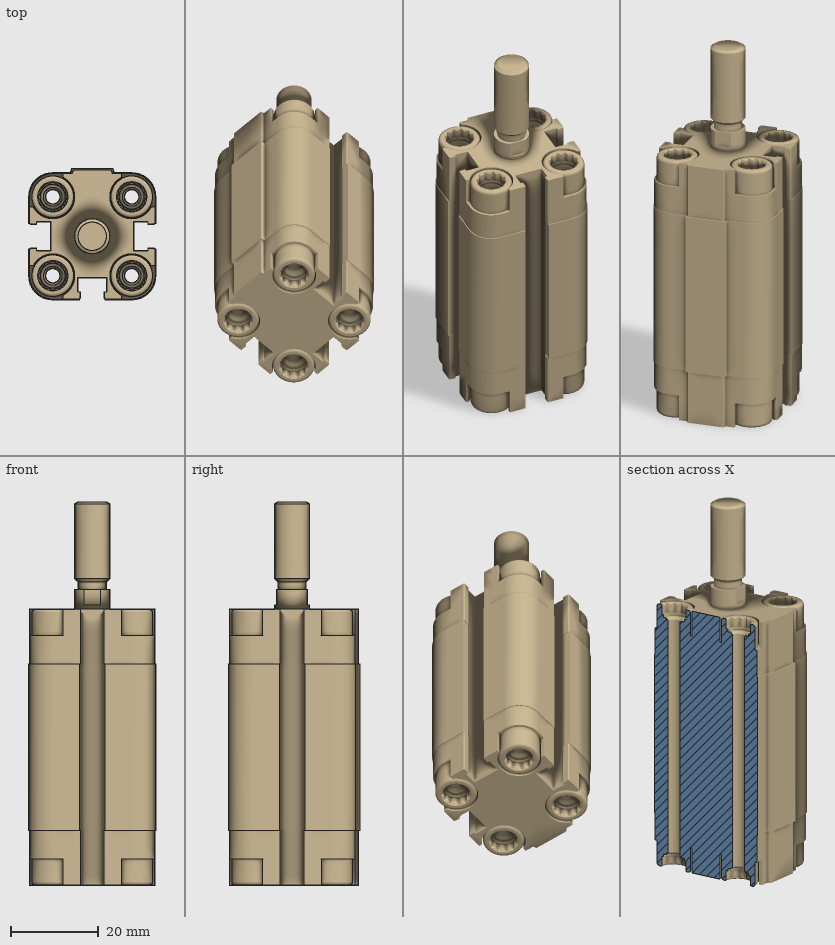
import cadquery as cq
import math


TOTAL_HEIGHT = 87.5
HOUSING_HEIGHT = 63.0
CAP_HEIGHT = 12.5

BARREL_WIDTH = 29.0
CAP_INSET = 0.2
SCREW_OFFSET = 9.0
RAIL_HEIGHT = 1.0
CAP_RAIL_INSET = 0.4
RAIL_BASE_WIDTH = 10.0
RAIL_TOP_WIDTH = 9.4

BARREL_MOUTH_WIDTH = 5.8
CAP_MOUTH_WIDTH = 5.45
SLOT_WIDTH = 6.6
SLOT_FLOOR_OFFSET = 9.5
SLOT_LIP_OFFSET = 12.7
CAP_MOUTH_FILLET = 0.3
SLOT_ANGLES = (180, 0, -90)

HEAD_DIAMETER = 9.5
COUNTERBORE_DIAMETER = 10.0
HEAD_HEIGHT = 6.0
HEAD_FILLET = 0.75
CORNER_CUT_OFFSET = 6.7
SOCKET_POINTS = 12
SOCKET_INNER_DIAMETER = 6.1
SOCKET_OUTER_DIAMETER = 6.9
SOCKET_DEPTH = 2.4
SOCKET_BORE_DIAMETER = 5.7
SOCKET_BORE_DEPTH = 3.0
SCREW_HOLE_DIAMETER = 3.24
SCREW_FUNNEL_DIAMETER = 4.3

ROD_DIAMETER = 8.0
NECK_DIAMETER = 6.47
TIP_CHAMFER_HEIGHT = 0.5
THREAD_LENGTH = 17.5
NECK_END = 20.0
FLAT_HEIGHT = 3.5
ACROSS_FLATS = 7.0


def block(x_range, y_range, z_range):
    """Box between the given limits."""
    size = [limits[1] - limits[0] for limits in (x_range, y_range, z_range)]
    corner = (x_range[0], y_range[0], z_range[0])
    return cq.Workplane("XY").box(*size, centered=False).translate(corner)


def cone(bottom_radius, top_radius, bottom, top):
    """Upright cone frustum on the Z axis."""
    outline = [(0, bottom), (bottom_radius, bottom), (top_radius, top), (0, top)]
    return cq.Workplane("XZ").polyline(outline).close().revolve(360, (0, 0), (0, 1))


def cylinder(diameter, bottom, top):
    """Upright cylinder on the Z axis."""
    return cq.Workplane("XY").workplane(offset=bottom).circle(diameter / 2).extrude(top - bottom)


def housing_section(inset, rail_inset, mouth_width, mouth_fillet, bottom, height):
    """Stretch of the housing: rounded square with the rail, less the three slots."""
    half_width = BARREL_WIDTH / 2 - inset
    section = (
        cq.Workplane("XY")
        .rect(2 * half_width, 2 * half_width)
        .extrude(height)
        .edges("|Z")
        .fillet(half_width - SCREW_OFFSET)
    )
    base = RAIL_BASE_WIDTH / 2 - rail_inset
    top = RAIL_TOP_WIDTH / 2 - rail_inset
    rail_face = BARREL_WIDTH / 2 + RAIL_HEIGHT - rail_inset
    rail_outline = [
        (-base, SLOT_FLOOR_OFFSET),
        (base, SLOT_FLOOR_OFFSET),
        (base, half_width),
        (top, rail_face),
        (-top, rail_face),
        (-base, half_width),
    ]
    section = section.union(cq.Workplane("XY").polyline(rail_outline).close().extrude(height))
    side_slot = slot(half_width, mouth_width, mouth_fillet, height)
    for angle in SLOT_ANGLES:
        section = section.cut(side_slot.rotate((0, 0, 0), (0, 0, 1), angle))
    return section.translate((0, 0, bottom))


def slot(half_width, mouth_width, mouth_fillet, height):
    """Slot opening toward +X, with its mouth flared by rounded edges where asked."""
    mouth = mouth_width / 2
    channel = block((SLOT_FLOOR_OFFSET, SLOT_LIP_OFFSET), (-SLOT_WIDTH / 2, SLOT_WIDTH / 2), (0, height))
    if not mouth_fillet:
        return channel.union(block((SLOT_LIP_OFFSET, half_width), (-mouth, mouth), (0, height)))
    bend = half_width - mouth_fillet
    flare = mouth + mouth_fillet
    sag = mouth_fillet * math.sqrt(0.5)
    outline = (
        cq.Workplane("XY")
        .moveTo(SLOT_LIP_OFFSET, -mouth)
        .lineTo(bend, -mouth)
        .threePointArc((bend + sag, -flare + sag), (half_width, -flare))
        .lineTo(half_width, flare)
        .threePointArc((bend + sag, flare - sag), (bend, mouth))
        .lineTo(SLOT_LIP_OFFSET, mouth)
        .close()
    )
    return channel.union(outline.extrude(height))


def corner_cut():
    """Removes the top of the housing corner around a screw head whose centre is on the Z axis."""
    wall = CORNER_CUT_OFFSET - SCREW_OFFSET
    reach = BARREL_WIDTH / 2
    square = block((wall, reach), (wall, reach), (-HEAD_HEIGHT, 0))
    return square.union(cylinder(COUNTERBORE_DIAMETER, -HEAD_HEIGHT, 0))


def screw_head():
    """Round head with a twelve-point socket, its top at Z = 0."""
    head = cylinder(HEAD_DIAMETER, -HEAD_HEIGHT, 0).faces(">Z").edges().fillet(HEAD_FILLET)

    inner_radius = SOCKET_INNER_DIAMETER / 2
    step = math.pi / SOCKET_POINTS
    outer_radius = SOCKET_OUTER_DIAMETER / 2
    star = []
    for corner in range(2 * SOCKET_POINTS):
        radius = inner_radius if corner % 2 else outer_radius
        star.append((radius * math.cos(corner * step), radius * math.sin(corner * step)))
    head = head.cut(cq.Workplane("XY").polyline(star).close().extrude(-SOCKET_DEPTH))

    head = head.cut(cone(inner_radius, outer_radius, inner_radius - outer_radius, 0))
    head = head.cut(cylinder(SOCKET_BORE_DIAMETER, -SOCKET_BORE_DEPTH, 0))
    hole_radius = SCREW_HOLE_DIAMETER / 2
    funnel_radius = SCREW_FUNNEL_DIAMETER / 2
    funnel_bottom = -SOCKET_BORE_DEPTH - (funnel_radius - hole_radius)
    return head.cut(cone(hole_radius, funnel_radius, funnel_bottom, -SOCKET_BORE_DEPTH))


def place_in_corners(shape):
    """Eight copies of a +X +Y corner feature: four on the top and four mirrored to the bottom."""
    top_corner = shape.translate((SCREW_OFFSET, SCREW_OFFSET, HOUSING_HEIGHT))
    bottom_corner = top_corner.mirror("XY", (0, 0, HOUSING_HEIGHT / 2))
    return [
        corner.rotate((0, 0, 0), (0, 0, 1), angle)
        for corner in (top_corner, bottom_corner)
        for angle in range(0, 360, 90)
    ]


def build_housing():
    barrel_height = HOUSING_HEIGHT - 2 * CAP_HEIGHT
    housing = housing_section(0, 0, BARREL_MOUTH_WIDTH, 0, CAP_HEIGHT, barrel_height)
    for cap_bottom in (0, HOUSING_HEIGHT - CAP_HEIGHT):
        cap = housing_section(
            CAP_INSET, CAP_RAIL_INSET, CAP_MOUTH_WIDTH, CAP_MOUTH_FILLET, cap_bottom, CAP_HEIGHT
        )
        housing = housing.union(cap)
    for cut in place_in_corners(corner_cut()):
        housing = housing.cut(cut)
    for head in place_in_corners(screw_head()):
        housing = housing.union(head)

    pitch = 2 * SCREW_OFFSET
    screw_holes = (
        cq.Workplane("XY")
        .rect(pitch, pitch, forConstruction=True)
        .vertices()
        .circle(SCREW_HOLE_DIAMETER / 2)
        .extrude(HOUSING_HEIGHT)
    )
    rod_bore = cylinder(ROD_DIAMETER, HOUSING_HEIGHT - CAP_HEIGHT, HOUSING_HEIGHT)
    return housing.cut(screw_holes).cut(rod_bore)


def build_piston_rod():
    radius = ROD_DIAMETER / 2
    neck_radius = NECK_DIAMETER / 2
    foot = HOUSING_HEIGHT - CAP_HEIGHT
    shoulder = TOTAL_HEIGHT - NECK_END
    thread_bottom = TOTAL_HEIGHT - THREAD_LENGTH
    profile = [
        (0, foot),
        (radius, foot),
        (radius, shoulder),
        (neck_radius, shoulder),
        (neck_radius, thread_bottom - (radius - neck_radius)),
        (radius, thread_bottom),
        (radius, TOTAL_HEIGHT - TIP_CHAMFER_HEIGHT),
        (neck_radius, TOTAL_HEIGHT),
        (0, TOTAL_HEIGHT),
    ]
    rod = cq.Workplane("XZ").polyline(profile).close().revolve(360, (0, 0), (0, 1))

    flat = ACROSS_FLATS / 2
    for y_range in ((-radius, -flat), (flat, radius)):
        rod = rod.cut(block((-radius, radius), y_range, (shoulder - FLAT_HEIGHT, shoulder)))
    return rod


housing = build_housing()
piston_rod = build_piston_rod()

result = cq.Compound.makeCompound([housing.val(), piston_rod.val()])